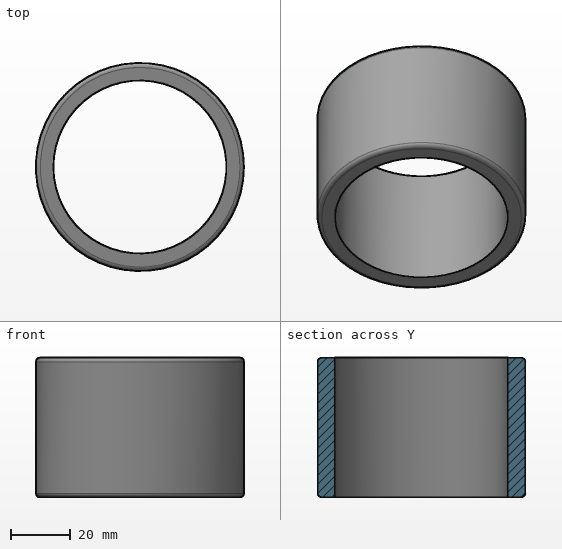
import cadquery as cq

outer_diameter = 70.0
bore_diameter = 58.0
height = 47.0
rim_radius = 1.5

sleeve = cq.Workplane("XY").circle(outer_diameter / 2).extrude(height)
rounded_sleeve = sleeve.faces("<Z or >Z").edges().fillet(rim_radius)

result = rounded_sleeve.faces(">Z").workplane().hole(bore_diameter)